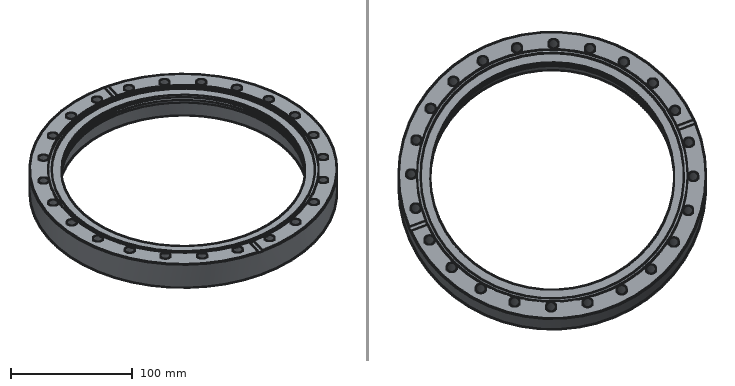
import cadquery as cq
import math

outer_radius = 253 / 2
height = 25.0
rim_chamfer = 0.5

recess_radius = 222.5 / 2
knife_radius = 216.5 / 2
knife_tip_depth = 0.5
knife_inner_draft = 0.3
knife_slope = 20
sealing_floor_depth = 1.5

lip_radius = 200.5 / 2
socket_radius = 204.5 / 2
relief_top_depth = 4.3
relief_width = 2.8
socket_depth = 9.9

bolt_count = 24
bolt_circle_radius = 231.7 / 2
bolt_hole_diameter = 8.3

leak_groove_width = 3.8
leak_groove_depth = 0.8


def ring_body():
    """Revolve the half section, drawn in XZ, about the Z axis."""
    recess_corner_depth = knife_tip_depth + (recess_radius - knife_radius) * math.tan(math.radians(knife_slope))
    relief_top = height - relief_top_depth
    relief_bottom = relief_top - relief_width
    relief_middle = (relief_top + relief_bottom) / 2
    section = (
        cq.Workplane("XZ")
        .moveTo(socket_radius, 0)
        .lineTo(outer_radius - rim_chamfer, 0)
        .lineTo(outer_radius, rim_chamfer)
        .lineTo(outer_radius, height - rim_chamfer)
        .lineTo(outer_radius - rim_chamfer, height)
        .lineTo(recess_radius, height)
        .lineTo(recess_radius, height - recess_corner_depth)
        .lineTo(knife_radius, height - knife_tip_depth)
        .lineTo(knife_radius - knife_inner_draft, height - sealing_floor_depth)
        .lineTo(lip_radius, height - sealing_floor_depth)
        .lineTo(lip_radius, relief_top)
        .threePointArc((lip_radius + relief_width / 2, relief_middle), (lip_radius, relief_bottom))
        .lineTo(lip_radius, height - socket_depth)
        .lineTo(socket_radius, height - socket_depth)
        .close()
    )
    return section.revolve(360, (0, 0, 0), (0, 1, 0))


def bolt_holes():
    half_pitch = 360 / bolt_count / 2
    return (
        cq.Workplane("XY")
        .polarArray(bolt_circle_radius, half_pitch, 360, bolt_count)
        .circle(bolt_hole_diameter / 2)
        .extrude(height)
    )


def leak_groove(side):
    """Shallow round-bottomed groove from the recess to the rim; side is +1 or -1 along X."""
    half_width = leak_groove_width / 2
    groove_radius = (half_width**2 + leak_groove_depth**2) / (2 * leak_groove_depth)
    axis_height = height - leak_groove_depth + groove_radius
    inner_end = (recess_radius + knife_radius) / 2
    cutter = (
        cq.Workplane("YZ", origin=(inner_end, 0, 0))
        .center(0, axis_height)
        .circle(groove_radius)
        .extrude(outer_radius - inner_end)
    )
    return cutter if side > 0 else cutter.mirror("YZ")


result = ring_body().cut(bolt_holes())
for side in (1, -1):
    result = result.cut(leak_groove(side))